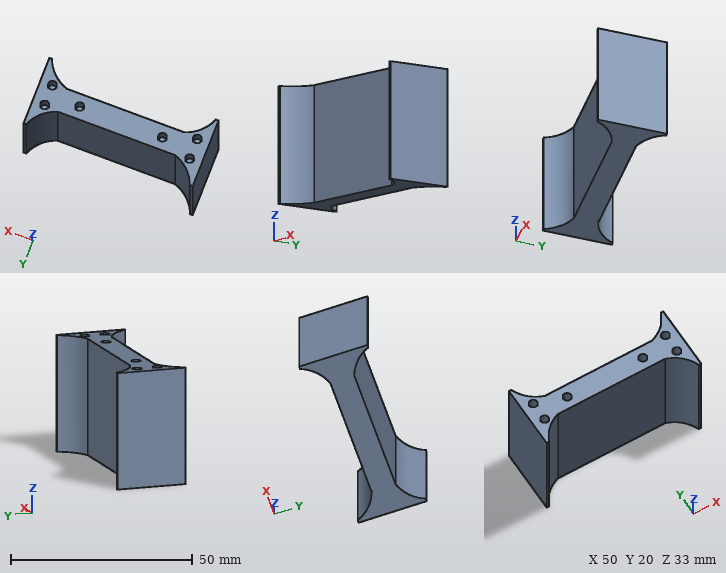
import cadquery as cq

length = 50.0
width = 20.0
height = 33.0

web_thickness = 7.0
web_flat_length = 34.6
flange_tip = 0.8
flare_radius = 11.0

hole_diameter = 2.5
hole_depth = 5.0
end_hole_spacing_x = 42.8
end_hole_spacing_y = 6.0
web_hole_spacing = 24.5


def make_body():
    """Block with the same flared channel cut along both long sides."""
    body = cq.Workplane("XY").box(length, width, height, centered=(True, True, False))
    tip_x = length / 2 - flange_tip
    tip_y = width / 2
    web_x = web_flat_length / 2
    web_y = web_thickness / 2
    channel = (
        cq.Workplane("XY")
        .moveTo(-web_x, web_y)
        .lineTo(web_x, web_y)
        .radiusArc((tip_x, tip_y), -flare_radius)
        .lineTo(-tip_x, tip_y)
        .radiusArc((-web_x, web_y), -flare_radius)
        .close()
        .extrude(height)
    )
    return body.cut(channel).cut(channel.mirror("XZ"))


def make_holes():
    """Two holes in each flared end and one near each end of the web."""
    top = cq.Workplane("XY", origin=(0, 0, height))
    end_holes = (
        top.rect(end_hole_spacing_x, end_hole_spacing_y, forConstruction=True)
        .vertices()
        .circle(hole_diameter / 2)
        .extrude(-hole_depth)
    )
    web_holes = (
        top.pushPoints([(-web_hole_spacing / 2, 0), (web_hole_spacing / 2, 0)])
        .circle(hole_diameter / 2)
        .extrude(-hole_depth)
    )
    return end_holes.add(web_holes).combine()


result = make_body().cut(make_holes())